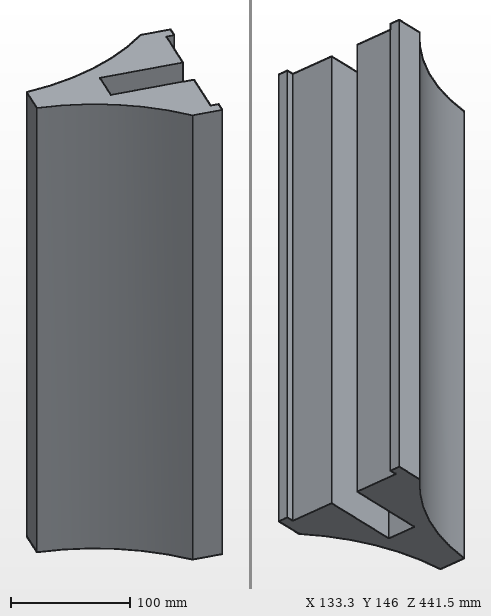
import cadquery as cq

width = 133.3
depth = 146.0
height = 441.5

nose_width = 26.5
side_length = 26.5
concave_radius = 200.0
lip_width = 9.5
lip_height = 7.0
slot_width = 28.2
slot_floor = 65.5

half_width = width / 2
half_nose = nose_width / 2
shoulder_y = depth - side_length


def make_body():
    """Column tapering to the nose through two concave flanks."""
    return (
        cq.Workplane("XY")
        .moveTo(-half_nose, 0)
        .lineTo(half_nose, 0)
        .radiusArc((half_width, shoulder_y), concave_radius)
        .lineTo(half_width, depth)
        .lineTo(-half_width, depth)
        .lineTo(-half_width, shoulder_y)
        .radiusArc((-half_nose, 0), concave_radius)
        .close()
        .extrude(height)
    )


def back_cut(cut_width, floor_y):
    """Full-height block that removes material from floor_y to the back."""
    return (
        cq.Workplane("XY")
        .center(0, (floor_y + depth) / 2)
        .rect(cut_width, depth - floor_y)
        .extrude(height)
    )


lip_recess = back_cut(width - 2 * lip_width, depth - lip_height)
slot = back_cut(slot_width, slot_floor)

result = make_body().cut(lip_recess).cut(slot)